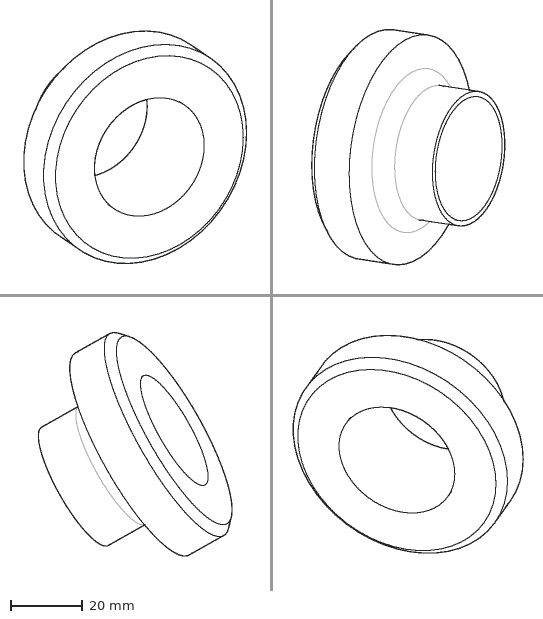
import cadquery as cq
import math

flange_diameter = 65.0
tube_diameter = 38.1
bore_diameter = 35.1
total_length = 33.0

tube_length = 12.5
neck_fillet_radius = 5.0
face_slope = 10.0
rim_chamfer = 2.5

flange_radius = flange_diameter / 2
tube_radius = tube_diameter / 2
bore_radius = bore_diameter / 2
slope = math.radians(face_slope)


def fillet_point(angle):
    """Point (x, radius) on the neck fillet, turned by angle from the tube."""
    return (
        tube_length + neck_fillet_radius * math.sin(angle),
        tube_radius + neck_fillet_radius * (1 - math.cos(angle)),
    )


fillet_turn = math.pi / 2 - slope
fillet_middle = fillet_point(fillet_turn / 2)
fillet_end = fillet_point(fillet_turn)
rim_start = fillet_end[0] + (flange_radius - fillet_end[1]) * math.tan(slope)

half_section = (
    cq.Workplane("XY")
    .moveTo(0, bore_radius)
    .lineTo(0, tube_radius)
    .lineTo(tube_length, tube_radius)
    .threePointArc(fillet_middle, fillet_end)
    .lineTo(rim_start, flange_radius)
    .lineTo(total_length - rim_chamfer, flange_radius)
    .lineTo(total_length, flange_radius - rim_chamfer)
    .lineTo(total_length, bore_radius)
    .close()
)

result = half_section.revolve(360, (0, 0, 0), (1, 0, 0))